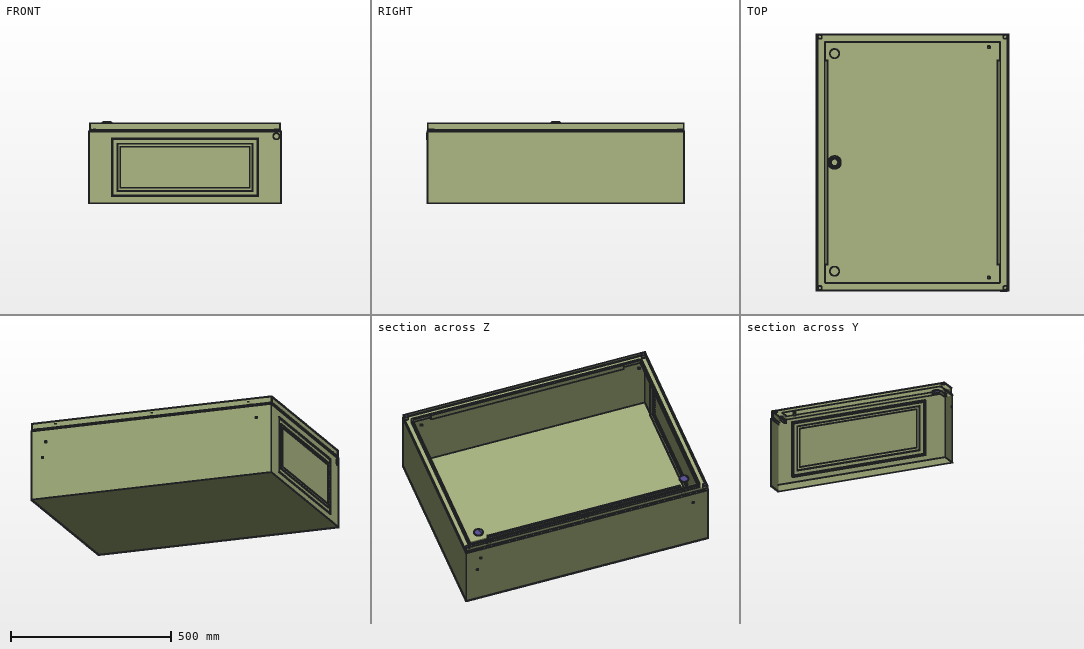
import cadquery as cq


WIDTH = 600.0
LENGTH = 800.0
HOUSING_HEIGHT = 225.0
WALL = 1.2

DOOR_WIDTH = 593.5
DOOR_LENGTH = 799.0
DOOR_BOTTOM = 230.0
DOOR_TOP = 250.0
SHEET = 1.0
SKIN_UNDERSIDE = DOOR_TOP - SHEET

RIM_WIDTH = 547.0
RIM_LENGTH = 752.0
RIM_CORNER_RADIUS = 4.0
RIM_SIDE_INSET = 8.0
RIM_SIDE_LENGTH = 635.0
SHELF_DROP = 2.0
COLLAR_WIDTH = 558.0
COLLAR_LENGTH = 762.0
COLLAR_TOP = 234.0
COLLAR_CORNER_RADIUS = 6.0

PIN_RADIUS = 5.0
PIN_X = -289.0
PIN_Y_PITCH = 321.0
PIN_TOP = 242.0

BUTTON_RADIUS = 10.0
BUTTON_X = 285.0
BUTTON_Z = 209.0
TOTAL_LENGTH = 802.0
BUTTON_HEIGHT = TOTAL_LENGTH - LENGTH

SIDE_HOLE_RADIUS = 2.8
SIDE_HOLES_YZ = [(-350.0, 185.0), (351.0, 185.0), (362.5, 135.0)]

PLATE_CENTRE_Z = 112.0
PLATE_WIDTH = 457.0
PLATE_HEIGHT = 181.0
PLATE_DEPTH = 8.0
PLATE_EDGE = 3.0
DISH_WIDTH = 420.0
DISH_HEIGHT = 146.0
WINDOW_WIDTH = 403.0
WINDOW_HEIGHT = 128.0

LOCK_X = -243.0
LOCK_TOP = 254.0
LOCK_HEAD_RADIUS = 15.0
LOCK_FACE_RADIUS = 11.0
LOCK_SHANK_RADIUS = 13.0
LOCK_FLANGE_RADIUS = 20.0
LOCK_FLANGE_THICKNESS = 4.0

BOSS_LENGTH = 8.0
LARGE_BOSS_RADIUS = 14.5
LARGE_BOSS_Y = 339.0
SMALL_BOSS_RADIUS = 4.0
SMALL_BOSS_X = 238.0
SMALL_BOSS_Y = 359.0
CORNER_POST_RADIUS = 6.5
CORNER_POST_INSET = 8.0


def block(width, length, bottom, top):
    """Box centred on the Z axis between two heights."""
    return cq.Workplane("XY").workplane(offset=bottom).rect(width, length).extrude(top - bottom)


def front_block(width, height, y_front, y_back):
    """Box centred on the gland plate's axis between two Y positions."""
    plane = cq.Workplane("XZ", origin=(0, y_front, PLATE_CENTRE_Z))
    return plane.rect(width, height).extrude(y_front - y_back)


def cylinders(points, radius, bottom, top):
    """Vertical cylinders at the given XY points."""
    return cq.Workplane("XY").workplane(offset=bottom).pushPoints(points).circle(radius).extrude(top - bottom)


def rim_outline(margin):
    """Filled rim shape, narrower along its long sides, shrunk all round by a margin."""
    width = RIM_WIDTH - 2 * margin
    length = RIM_LENGTH - 2 * margin
    filled = block(width, length, HOUSING_HEIGHT - WALL, SKIN_UNDERSIDE)
    filled = filled.edges("|Z").fillet(RIM_CORNER_RADIUS - margin)
    notch = block(2 * RIM_SIDE_INSET, RIM_SIDE_LENGTH + 2 * margin, HOUSING_HEIGHT - WALL, SKIN_UNDERSIDE)
    for side in (-1, 1):
        filled = filled.cut(notch.translate((side * width / 2, 0, 0)))
    return filled


def make_housing():
    housing = block(WIDTH, LENGTH, 0, HOUSING_HEIGHT)
    housing = housing.cut(block(WIDTH - 2 * WALL, LENGTH - 2 * WALL, WALL, HOUSING_HEIGHT - WALL))

    collar = block(COLLAR_WIDTH, COLLAR_LENGTH, HOUSING_HEIGHT - WALL, COLLAR_TOP)
    collar = collar.edges("|Z").fillet(COLLAR_CORNER_RADIUS)
    housing = housing.union(collar).union(rim_outline(0)).cut(rim_outline(SHEET))

    shelf_top = SKIN_UNDERSIDE - SHELF_DROP
    shelf = block(RIM_SIDE_INSET, RIM_SIDE_LENGTH, HOUSING_HEIGHT - WALL, shelf_top)
    for side in (-1, 1):
        housing = housing.union(shelf.translate((side * (RIM_WIDTH - RIM_SIDE_INSET) / 2, 0, 0)))

    pin_points = [(PIN_X, y) for y in (-PIN_Y_PITCH, 0, PIN_Y_PITCH)]
    housing = housing.union(cylinders(pin_points, PIN_RADIUS, HOUSING_HEIGHT - WALL, PIN_TOP))

    front = -LENGTH / 2
    housing = housing.cut(front_block(WINDOW_WIDTH, WINDOW_HEIGHT, front, front + WALL))

    button = cq.Workplane("XZ", origin=(BUTTON_X, front, BUTTON_Z)).circle(BUTTON_RADIUS)
    housing = housing.union(button.extrude(BUTTON_HEIGHT))

    holes = cq.Workplane("YZ", origin=(-WIDTH / 2, 0, 0)).pushPoints(SIDE_HOLES_YZ)
    return housing.cut(holes.circle(SIDE_HOLE_RADIUS).extrude(WALL))


def make_door():
    door = block(DOOR_WIDTH, DOOR_LENGTH, DOOR_BOTTOM, DOOR_TOP)
    door = door.cut(block(DOOR_WIDTH - 2 * SHEET, DOOR_LENGTH - 2 * SHEET, DOOR_BOTTOM, SKIN_UNDERSIDE))

    boss_bottom = SKIN_UNDERSIDE - BOSS_LENGTH
    large_points = [(LOCK_X, side * LARGE_BOSS_Y) for side in (-1, 1)]
    small_points = [(SMALL_BOSS_X, side * SMALL_BOSS_Y) for side in (-1, 1)]
    door = door.union(cylinders(large_points, LARGE_BOSS_RADIUS, boss_bottom, SKIN_UNDERSIDE))
    door = door.union(cylinders(small_points, SMALL_BOSS_RADIUS, boss_bottom, SKIN_UNDERSIDE))

    post_x = DOOR_WIDTH / 2 - CORNER_POST_INSET
    post_y = DOOR_LENGTH / 2 - CORNER_POST_INSET
    corners = [(x, y) for x in (-post_x, post_x) for y in (-post_y, post_y)]
    door = door.union(cylinders(corners, CORNER_POST_RADIUS, DOOR_BOTTOM, SKIN_UNDERSIDE))

    return door.cut(cylinders([(LOCK_X, 0)], LOCK_SHANK_RADIUS, SKIN_UNDERSIDE, DOOR_TOP))


def make_gland_plate():
    """Sheet pan open to the inside, with its middle dished away from the window."""
    front = -LENGTH / 2 + WALL
    dish_front = front + SHEET
    plate = front_block(PLATE_WIDTH, PLATE_HEIGHT, front, front + PLATE_DEPTH)
    pan_width = PLATE_WIDTH - 2 * PLATE_EDGE
    pan_height = PLATE_HEIGHT - 2 * PLATE_EDGE
    plate = plate.cut(front_block(pan_width, pan_height, dish_front, front + PLATE_DEPTH))
    dish_back = front_block(
        DISH_WIDTH + 2 * SHEET, DISH_HEIGHT + 2 * SHEET, dish_front, dish_front + SHEET
    )
    plate = plate.union(dish_back)
    return plate.cut(front_block(DISH_WIDTH, DISH_HEIGHT, front, dish_front))


def make_lock():
    """Turned lock: bevelled head on the door, shank through the skin and flange beneath."""
    flange_bottom = SKIN_UNDERSIDE - LOCK_FLANGE_THICKNESS
    profile = [
        (0, flange_bottom),
        (LOCK_FLANGE_RADIUS, flange_bottom),
        (LOCK_FLANGE_RADIUS, SKIN_UNDERSIDE),
        (LOCK_SHANK_RADIUS, SKIN_UNDERSIDE),
        (LOCK_SHANK_RADIUS, DOOR_TOP),
        (LOCK_HEAD_RADIUS, DOOR_TOP),
        (LOCK_FACE_RADIUS, LOCK_TOP),
        (0, LOCK_TOP),
    ]
    lock = cq.Workplane("XZ").polyline(profile).close().revolve(360, (0, 0, 0), (0, 1, 0))
    return lock.translate((LOCK_X, 0, 0))


housing = make_housing()
door = make_door()
gland_plate = make_gland_plate()
lock = make_lock()

result = cq.Compound.makeCompound([housing.val(), door.val(), gland_plate.val(), lock.val()])